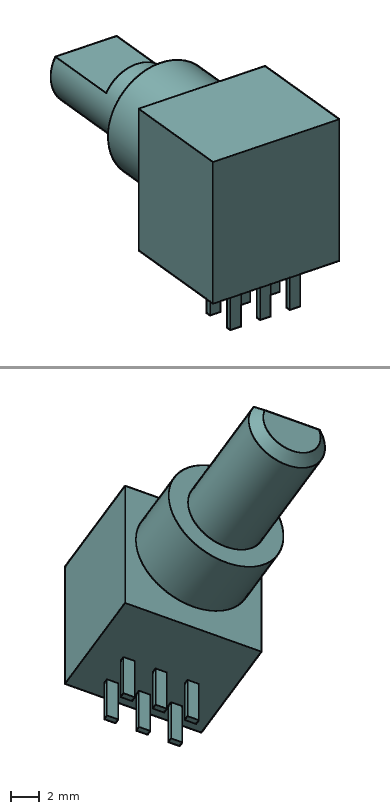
import cadquery as cq

total_length = 24.15

shaft_diameter = 6.0
shaft_length = 10.0
flat_length = 7.0
flat_height = 1.5
tip_chamfer = 0.75

bushing_diameter = 9.0
bushing_length = 5.0

housing_width = 10.7
housing_height = 11.35
housing_top = 4.85
housing_length = total_length - shaft_length - bushing_length

pin_length = 3.5
pin_thickness = 0.43
pin_width = 0.9
pin_pitch = 2.5
front_row_offset = 5.1
row_spacing = 2.5

bushing_start = shaft_length
housing_start = bushing_start + bushing_length
housing_bottom = housing_top - housing_height


def make_shaft():
    """Round shaft with a D flat, chamfered all around its tip."""
    shaft = cq.Workplane("YZ").circle(shaft_diameter / 2).extrude(shaft_length)
    flat_cut = cq.Workplane("XY").box(
        flat_length, shaft_diameter, shaft_diameter, centered=(False, True, False)
    ).translate((0, 0, flat_height))
    return shaft.cut(flat_cut).faces("<X").chamfer(tip_chamfer)


def make_bushing():
    return (
        cq.Workplane("YZ", origin=(bushing_start, 0, 0))
        .circle(bushing_diameter / 2)
        .extrude(bushing_length)
    )


def make_housing():
    return cq.Workplane("XY").box(
        housing_length, housing_width, housing_height, centered=(False, True, False)
    ).translate((housing_start, 0, housing_bottom))


def make_pin(x, y):
    """Flat pin hanging from the housing floor."""
    return (
        cq.Workplane("XY", origin=(x, y, housing_bottom))
        .rect(pin_thickness, pin_width)
        .extrude(-pin_length)
    )


result = make_housing().union(make_bushing()).union(make_shaft())

front_row = housing_start + front_row_offset
for pin_x in (front_row, front_row + row_spacing):
    for pin_y in (-pin_pitch, 0, pin_pitch):
        result = result.union(make_pin(pin_x, pin_y))